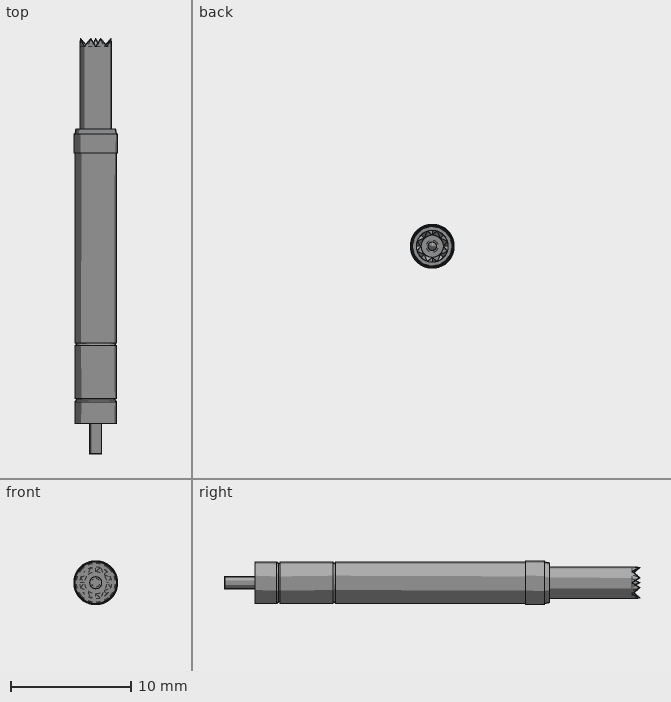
import cadquery as cq
import math

collar_diameter = 3.65
barrel_diameter = 3.46
plunger_diameter = 2.64
terminal_diameter = 1.0

total_length = 34.5
plunger_length = 7.5
collar_lip_length = 0.42
collar_length = 1.58
terminal_length = 2.5
lip_taper_inset = 0.08

crimp_radius = 0.11
crimp_from_rear = 6.6
end_cap_length = 1.8
relief_depth = 0.12
relief_floor_width = 0.1
relief_slope_width = 0.18

tooth_depth = 0.65
tooth_offset_angle = 18.0
tooth_wall_thickness = 0.4
centre_point_radius = 0.35

tip_y = total_length / 2
tooth_root_y = tip_y - tooth_depth
barrel_front_y = tip_y - plunger_length
collar_front_y = barrel_front_y - collar_lip_length
collar_rear_y = collar_front_y - collar_length
terminal_end_y = -total_length / 2
barrel_rear_y = terminal_end_y + terminal_length

barrel_radius = barrel_diameter / 2
plunger_radius = plunger_diameter / 2


def cylinder(diameter, rear_y, front_y):
    """Solid cylinder on the Y axis between two stations."""
    rear_disc = cq.Workplane("XZ", origin=(0, rear_y, 0)).circle(diameter / 2)
    return rear_disc.extrude(rear_y - front_y)


def revolve_about_y(outline):
    """Turn a closed XY outline through a full circle about the Y axis."""
    return outline.close().revolve(360, (0, 0, 0), (0, 1, 0))


def make_barrel():
    """Barrel with a tapered front lip and a raised collar behind it."""
    barrel = cylinder(barrel_diameter, barrel_rear_y, barrel_front_y)
    barrel = barrel.faces(">Y").chamfer(collar_lip_length, lip_taper_inset)
    return barrel.union(cylinder(collar_diameter, collar_rear_y, collar_front_y))


def crimp_groove():
    """Half-round ring groove: a torus centred on the barrel surface."""
    crimp_y = barrel_rear_y + crimp_from_rear
    torus = cq.Solid.makeTorus(barrel_radius, crimp_radius, cq.Vector(0, crimp_y, 0), cq.Vector(0, 1, 0))
    return cq.Workplane(obj=torus)


def relief_groove():
    """Ring groove ahead of the end cap: square front wall, sloped rear wall."""
    cap_front_y = barrel_rear_y + end_cap_length
    floor_rear_y = cap_front_y + relief_slope_width
    floor_front_y = floor_rear_y + relief_floor_width
    floor_radius = barrel_radius - relief_depth
    outline = (
        cq.Workplane("XY")
        .moveTo(barrel_radius, cap_front_y)
        .lineTo(floor_radius, floor_rear_y)
        .lineTo(floor_radius, floor_front_y)
        .lineTo(collar_diameter / 2, floor_front_y)
        .lineTo(collar_diameter / 2, cap_front_y)
    )
    return revolve_about_y(outline)


def crown_ring_cut():
    """Ring of material between the centre point and the inward slope of the teeth."""
    outline = (
        cq.Workplane("XY")
        .moveTo(0, tip_y)
        .lineTo(centre_point_radius, tooth_root_y)
        .lineTo(plunger_radius - tooth_wall_thickness, tooth_root_y)
        .lineTo(plunger_radius, tip_y)
    )
    return revolve_about_y(outline)


def tooth_gap(direction_angle, half_angle):
    """V-shaped gap from the centre point's foot outwards, spanning two tooth tips."""
    half_width = plunger_radius * math.sin(math.radians(half_angle))
    profile = (
        cq.Workplane("XY", origin=(0, 0, centre_point_radius))
        .moveTo(-half_width, tip_y)
        .lineTo(half_width, tip_y)
        .lineTo(0, tooth_root_y)
        .close()
    )
    return profile.extrude(plunger_radius).rotate((0, 0, 0), (0, 1, 0), direction_angle)


def make_plunger():
    """Plunger rod with the serrated crown cut into its front end."""
    plunger = cylinder(plunger_diameter, collar_rear_y, tip_y)
    plunger = plunger.cut(crown_ring_cut())
    for quarter in range(4):
        main_axis_angle = 90 * quarter
        plunger = plunger.cut(tooth_gap(main_axis_angle, tooth_offset_angle))
        plunger = plunger.cut(tooth_gap(main_axis_angle + 45, 45 - tooth_offset_angle))
    return plunger


barrel = make_barrel().cut(crimp_groove()).cut(relief_groove())
terminal = cylinder(terminal_diameter, terminal_end_y, barrel_rear_y)
result = barrel.union(terminal).union(make_plunger())